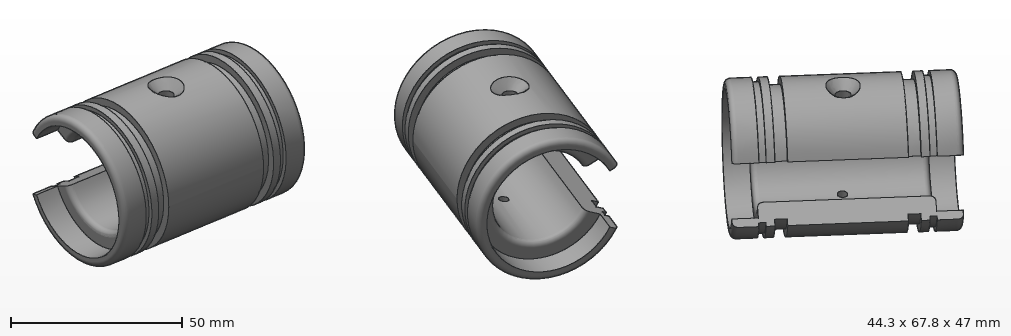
import cadquery as cq
import math

length = 67.75
outer_radius = 23.5
bore_radius = 15.05
edge_radius = 1.75
recess_radius = 20.45
recess_depth = 7.8

ring_grooves = [(7.8, 2.1, 1.35), (12.45, 3.7, 2.4)]
groove_clearance = 0.7

opening_half_angle = 25.0
opening_apex_x = 2.5

oil_hole_radius = 2.4
sink_depth = 3.25
sink_half_width = 6.65
sink_half_length = 5.0
pin_hole_radius = 1.5
pin_hole_x = 1.95


def y_cylinder(radius, start, height):
    """Cylinder around the Y axis, running from y = start toward +Y."""
    return cq.Workplane("XZ", origin=(0, start, 0)).circle(radius).extrude(-height)


def sleeve_body():
    """Tube with recessed ends and rounded rims."""
    half = length / 2
    body = y_cylinder(outer_radius, -half, length).faces("<Y or >Y").edges().fillet(edge_radius)

    core_length = length - 2 * recess_depth
    core = y_cylinder(recess_radius, -core_length / 2, core_length)
    core = core.cut(y_cylinder(bore_radius, -core_length / 2, core_length))
    core = core.faces("<Y or >Y").edges(cq.selectors.RadiusNthSelector(0)).fillet(edge_radius)

    shell = body.cut(y_cylinder(recess_radius, -half, length))
    return shell.union(core)


def ring_groove(end_distance, width, depth):
    """Ring-shaped cutter for one groove at the -Y end."""
    start = end_distance - length / 2
    ring = y_cylinder(outer_radius + groove_clearance, start, width)
    return ring.cut(y_cylinder(outer_radius - depth, start, width))


def opening():
    """Wedge that opens toward -X along the whole sleeve."""
    reach = 2 * outer_radius
    half_height = reach * math.tan(math.radians(opening_half_angle))
    far_x = opening_apex_x - reach
    outline = [(opening_apex_x, 0), (far_x, half_height), (far_x, -half_height)]
    return cq.Workplane("XZ").polyline(outline).close().extrude(length, both=True)


def oil_hole():
    """Round hole with a flared elliptical countersink, wider across X than along Y."""
    hole = cq.Workplane("XY").circle(oil_hole_radius).extrude(outer_radius)
    sink = (
        cq.Workplane("XY", origin=(0, 0, outer_radius - sink_depth))
        .circle(oil_hole_radius)
        .workplane(offset=sink_depth)
        .ellipse(sink_half_width, sink_half_length)
        .loft(ruled=True)
    )
    return hole.union(sink)


def pin_hole():
    """Plain hole through the bottom wall, offset toward +X."""
    return cq.Workplane("XY").center(pin_hole_x, 0).circle(pin_hole_radius).extrude(-outer_radius)


result = sleeve_body().cut(oil_hole()).cut(pin_hole())

for groove in ring_grooves:
    cutter = ring_groove(*groove)
    result = result.cut(cutter).cut(cutter.mirror("XZ"))

result = result.cut(opening())